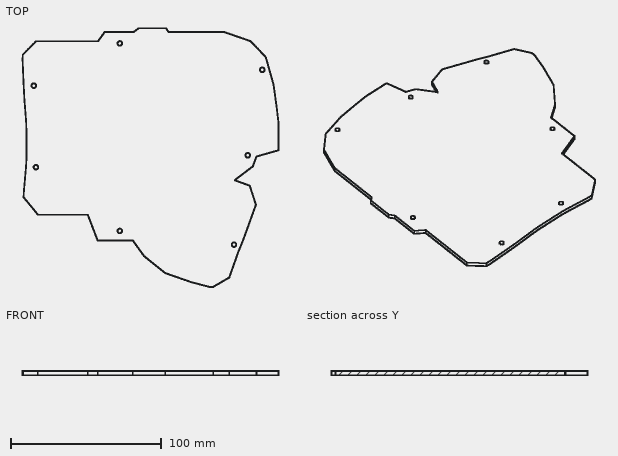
import cadquery as cq

thickness = 3.0
plate_width = 169.7
plate_depth = 171.6
hole_diameter = 3.0

shoulder_y = 163.0
top_edge_y = 169.2
lower_edge_y = 47.9
foot_edge_y = 30.9

top_edge = [
    (9.1, shoulder_y),
    (50.1, shoulder_y),
    (54.5, top_edge_y),
    (73.8, top_edge_y),
    (77.0, plate_depth),
    (95.2, plate_depth),
    (96.8, top_edge_y),
    (133.3, top_edge_y),
]
right_edge = [
    (151.2, shoulder_y),
    (161.3, 152.4),
    (166.5, 134.2),
    (168.5, 119.3),
    (plate_width, 109.1),
    (plate_width, 90.6),
]
notch = [
    (155.1, 86.5),
    (152.7, 80.0),
    (140.7, 70.9),
    (150.7, 67.3),
]
lower_lobe = [
    (154.8, 54.5),
    (146.0, 30.4),
    (143.1, 23.3),
    (137.1, 6.3),
    (126.3, 0),
    (124.0, 0),
    (111.7, 3.3),
    (94.5, 9.3),
    (80.5, 20.6),
]
bottom_edge = [
    (73.1, foot_edge_y),
    (49.8, foot_edge_y),
    (43.2, lower_edge_y),
    (10.3, lower_edge_y),
]
left_edge = [
    (0.7, 59.5),
    (0.9, 63.1),
    (2.2, 79.0),
    (2.5, 84.5),
    (2.5, 103.8),
    (2.4, 109.1),
    (1.2, 124.7),
    (0.7, 134.5),
    (0, 151.0),
    (0.2, 154.0),
]

hole_centers = [
    (64.5, 161.5),
    (158.9, 144.0),
    (7.5, 133.5),
    (9.0, 79.5),
    (149.3, 87.3),
    (64.5, 37.2),
    (140.2, 28.1),
]


def make_plate():
    outline = top_edge + right_edge + notch + lower_lobe + bottom_edge + left_edge
    return cq.Workplane("XY").polyline(outline).close().extrude(thickness)


def make_hole_cutters():
    return cq.Workplane("XY").pushPoints(hole_centers).circle(hole_diameter / 2).extrude(thickness)


result = make_plate().cut(make_hole_cutters())